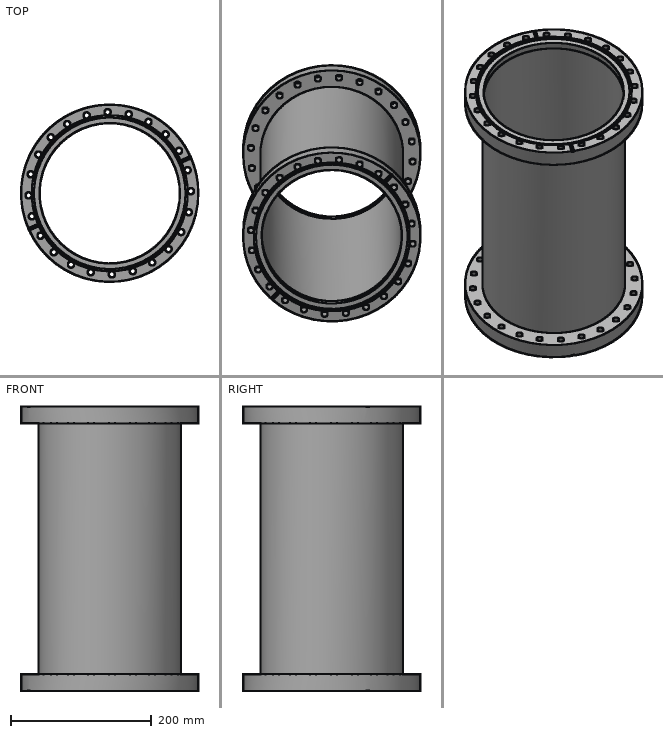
import cadquery as cq
import math

LENGTH = 406.5
FLANGE_DIAMETER = 253.0
FLANGE_THICKNESS = 24.5

TUBE_DIAMETER = 204.0
TUBE_WALL = 2.0
SOCKET_SETBACK = 12.0

SEAT_RADIUS = 111.5
KNIFE_RADIUS = 108.0
KNIFE_SETBACK = 1.2
KNIFE_SLOPE = 20.0

BOLT_COUNT = 24
BOLT_CIRCLE_RADIUS = 116.0
BOLT_HOLE_DIAMETER = 8.5

GROOVE_ANGLE = 24.0
GROOVE_WIDTH = 3.3
GROOVE_DEPTH = 1.2

FLANGE_RADIUS = FLANGE_DIAMETER / 2
TUBE_RADIUS = TUBE_DIAMETER / 2
BORE_RADIUS = TUBE_RADIUS - TUBE_WALL
TUBE_LENGTH = LENGTH - 2 * SOCKET_SETBACK
SEAT_DEPTH = KNIFE_SETBACK + (SEAT_RADIUS - KNIFE_RADIUS) * math.tan(math.radians(KNIFE_SLOPE))
FIRST_BOLT_ANGLE = GROOVE_ANGLE + 180 / BOLT_COUNT


def make_tube():
    """Thin-walled tube between the two flange sockets."""
    return (
        cq.Workplane("XY")
        .workplane(offset=-TUBE_LENGTH / 2)
        .circle(TUBE_RADIUS)
        .circle(BORE_RADIUS)
        .extrude(TUBE_LENGTH)
    )


def make_flange_ring():
    """Turned flange with its sealing face at Z = 0 and its back face below."""
    half_section = [
        (BORE_RADIUS, -KNIFE_SETBACK),
        (KNIFE_RADIUS, -KNIFE_SETBACK),
        (SEAT_RADIUS, -SEAT_DEPTH),
        (SEAT_RADIUS, 0),
        (FLANGE_RADIUS, 0),
        (FLANGE_RADIUS, -FLANGE_THICKNESS),
        (TUBE_RADIUS, -FLANGE_THICKNESS),
        (TUBE_RADIUS, -SOCKET_SETBACK),
        (BORE_RADIUS, -SOCKET_SETBACK),
    ]
    return cq.Workplane("XZ").polyline(half_section).close().revolve(360, (0, 0, 0), (0, 1, 0))


def make_bolt_holes():
    """Cutters for the ring of through holes."""
    return (
        cq.Workplane("XY")
        .polarArray(BOLT_CIRCLE_RADIUS, FIRST_BOLT_ANGLE, 360, BOLT_COUNT)
        .circle(BOLT_HOLE_DIAMETER / 2)
        .extrude(-FLANGE_THICKNESS)
    )


def make_leak_groove():
    """Cutter for the shallow groove that crosses the rim on both sides."""
    return (
        cq.Workplane("XY")
        .rect(FLANGE_DIAMETER, GROOVE_WIDTH)
        .extrude(-GROOVE_DEPTH)
        .rotate((0, 0, 0), (0, 0, 1), GROOVE_ANGLE)
    )


def make_flange():
    """Complete flange with its sealing face up, at Z = 0."""
    return make_flange_ring().cut(make_bolt_holes()).cut(make_leak_groove())


tube = make_tube()
top_flange = make_flange().translate((0, 0, LENGTH / 2))
bottom_flange = top_flange.mirror("XY")

result = cq.Compound.makeCompound([tube.val(), top_flange.val(), bottom_flange.val()])